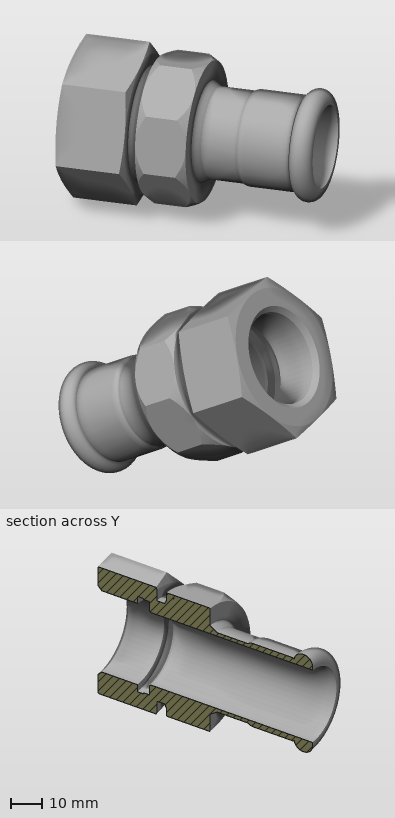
import cadquery as cq
import math

length = 83.0
across_flats = 46.0
face_diameter = 45.6

hex_length = 23.0
hex_chamfer = 0.9
hex_turn = 15

octagon_start = 26.6
octagon_end = 43.5
octagon_chamfer = 3.2
octagon_turn = -15

collar_diameter = 37.85
flange_diameter = 38.6
flange_root_diameter = 40.8
flange_width = 0.6
cone_diameter = 33.2
cone_end = 46.15
tube_diameter = 30.0

socket_diameter = 31.4
shoulder_start = 57.9
shoulder_length = 2.1
bead_start = 75.6
bead_diameter = 36.7

bore_diameter = 30.3
bore_mouth_diameter = 33.5
mouth_depth = 1.7
bore_end = 15.5
recess_diameter = 35.6
recess_end = 17.7
pocket_diameter = 34.8
pocket_end = 19.8
seat_mouth_diameter = 27.8
seat_chamfer = 0.8
through_diameter = 27.0


def cylinder(start, end, diameter):
    return cq.Workplane("YZ", origin=(start, 0, 0)).circle(diameter / 2).extrude(end - start)


def revolve_about_x(profile):
    return profile.close().revolve(360, (0, 0, 0), (1, 0, 0))


def cone(start, end, start_diameter, end_diameter):
    profile = (
        cq.Workplane("XY")
        .moveTo(start, 0)
        .lineTo(start, start_diameter / 2)
        .lineTo(end, end_diameter / 2)
        .lineTo(end, 0)
    )
    return revolve_about_x(profile)


def nut(sides, turn, start, end, chamfer, end_diameter):
    """Regular prism whose corners are trimmed by a cone at both ends."""
    corner_diameter = across_flats / math.cos(math.pi / sides)
    prism = (
        cq.Workplane("YZ", origin=(start, 0, 0))
        .transformed(rotate=(0, 0, 90 - turn))
        .polygon(sides, corner_diameter)
        .extrude(end - start)
    )
    envelope = (
        cq.Workplane("XY")
        .moveTo(start, 0)
        .lineTo(start, end_diameter / 2)
        .lineTo(start + chamfer, corner_diameter / 2)
        .lineTo(end - chamfer, corner_diameter / 2)
        .lineTo(end, end_diameter / 2)
        .lineTo(end, 0)
    )
    return prism.intersect(revolve_about_x(envelope))


def press_socket():
    """Tube, rounded shoulder, socket wall and half-round bead as one turned profile."""
    shoulder_end = shoulder_start + shoulder_length
    shoulder_rise = (socket_diameter - tube_diameter) / 2
    arc_radius = (shoulder_length**2 + shoulder_rise**2) / (2 * shoulder_rise)
    half_angle = math.asin(shoulder_length / arc_radius) / 2
    arc_middle = (
        shoulder_end - arc_radius * math.sin(half_angle),
        socket_diameter / 2 - arc_radius * (1 - math.cos(half_angle)),
    )
    bead_radius = (length - bead_start) / 2
    bead_center = bead_diameter / 2 - bead_radius
    profile = (
        cq.Workplane("XY")
        .moveTo(octagon_end, 0)
        .lineTo(octagon_end, tube_diameter / 2)
        .lineTo(shoulder_start, tube_diameter / 2)
        .threePointArc(arc_middle, (shoulder_end, socket_diameter / 2))
        .lineTo(bead_start, socket_diameter / 2)
        .lineTo(bead_start, bead_center)
        .threePointArc((bead_start + bead_radius, bead_diameter / 2), (length, bead_center))
        .lineTo(length, 0)
    )
    return revolve_about_x(profile)


hexagon_nut = nut(6, hex_turn, 0, hex_length, hex_chamfer, face_diameter)
octagon_nut = nut(8, octagon_turn, octagon_start, octagon_end, octagon_chamfer, across_flats)
collar = cylinder(hex_length, octagon_start, collar_diameter)
flange = cone(octagon_start - flange_width, octagon_start, flange_diameter, flange_root_diameter)
neck_cone = cone(octagon_end, cone_end, cone_diameter, tube_diameter)

body = hexagon_nut.union(collar).union(flange).union(octagon_nut).union(neck_cone).union(press_socket())

result = (
    body.cut(cone(0, mouth_depth, bore_mouth_diameter, bore_diameter))
    .cut(cylinder(0, bore_end, bore_diameter))
    .cut(cylinder(bore_end, recess_end, recess_diameter))
    .cut(cylinder(recess_end, pocket_end, pocket_diameter))
    .cut(cone(pocket_end, pocket_end + seat_chamfer, seat_mouth_diameter, through_diameter))
    .cut(cylinder(0, length, through_diameter))
)